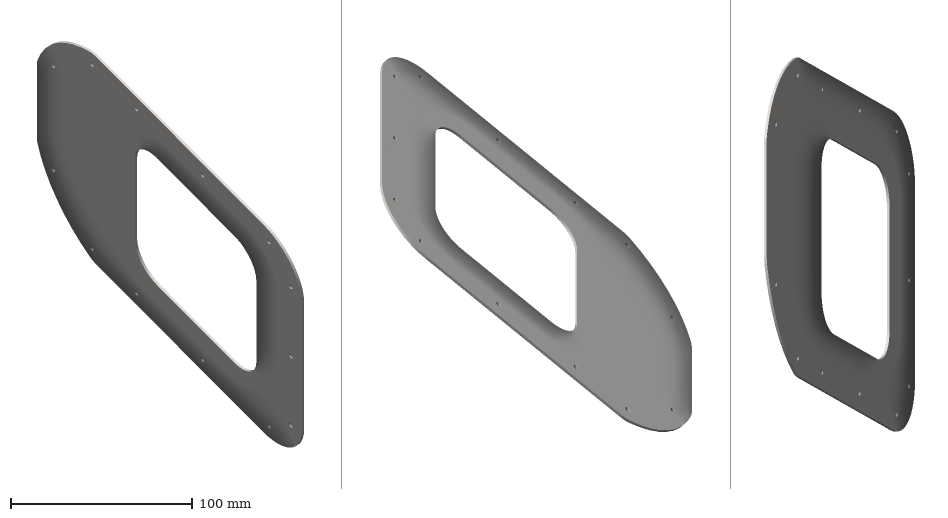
import cadquery as cq
import math

length = 240.0
height = 180.0
thickness = 1.55
half_length = length / 2
half_height = height / 2

right_corner_radius = 35.0

left_arc_radius = 81.5
left_arc_inset_x = 79.0
left_arc_inset_z = 76.5
blend_radius = 17.0

window_size = 110.0
window_center_x = 23.8
window_corner_radius = 20.0

hole_diameter = 3.0
long_edge_hole_z = 80.0
long_edge_hole_xs = [-70.0, -30.0, 30.0, 90.0]
right_hole_x = 110.0
right_hole_spacing = 60.0
left_hole_x = -105.0
left_hole_z = 45.0


def point_on_circle(center, radius, angle):
    """Point on a circle at an angle given in radians from +X."""
    return (center[0] + radius * math.cos(angle), center[1] + radius * math.sin(angle))


def mirrored(point):
    """Point reflected from the upper half of the plate to the lower half."""
    return (point[0], -point[1])


def outline():
    """Closed plate outline in the XZ plane."""
    arc_center = (-half_length + left_arc_inset_x, half_height - left_arc_inset_z)

    center_distance = left_arc_radius - blend_radius
    top_tilt = math.acos((left_arc_inset_z - blend_radius) / center_distance)
    side_tilt = math.acos((left_arc_inset_x - blend_radius) / center_distance)

    up = math.pi / 2
    left = math.pi
    top_join_angle = up + top_tilt
    side_join_angle = left - side_tilt
    arc_mid_angle = (top_join_angle + side_join_angle) / 2
    top_blend_center = point_on_circle(arc_center, center_distance, top_join_angle)
    side_blend_center = point_on_circle(arc_center, center_distance, side_join_angle)

    top_start = point_on_circle(top_blend_center, blend_radius, up)
    top_blend_mid = point_on_circle(top_blend_center, blend_radius, (up + top_join_angle) / 2)
    top_join = point_on_circle(arc_center, left_arc_radius, top_join_angle)
    arc_mid = point_on_circle(arc_center, left_arc_radius, arc_mid_angle)
    side_join = point_on_circle(arc_center, left_arc_radius, side_join_angle)
    side_blend_mid = point_on_circle(side_blend_center, blend_radius, (left + side_join_angle) / 2)
    side_end = point_on_circle(side_blend_center, blend_radius, left)

    right_arc_center = (half_length - right_corner_radius, half_height - right_corner_radius)
    right_top = (right_arc_center[0], half_height)
    right_mid = point_on_circle(right_arc_center, right_corner_radius, math.pi / 4)
    right_side = (half_length, right_arc_center[1])

    return (
        cq.Workplane("XZ")
        .moveTo(*top_start)
        .threePointArc(top_blend_mid, top_join)
        .threePointArc(arc_mid, side_join)
        .threePointArc(side_blend_mid, side_end)
        .lineTo(*mirrored(side_end))
        .threePointArc(mirrored(side_blend_mid), mirrored(side_join))
        .threePointArc(mirrored(arc_mid), mirrored(top_join))
        .threePointArc(mirrored(top_blend_mid), mirrored(top_start))
        .lineTo(*mirrored(right_top))
        .threePointArc(mirrored(right_mid), mirrored(right_side))
        .lineTo(*right_side)
        .threePointArc(right_mid, right_top)
        .close()
    )


def window():
    """Square opening with rounded corners, long enough to cut through the plate."""
    return (
        cq.Workplane("XZ")
        .center(window_center_x, 0)
        .rect(window_size, window_size)
        .extrude(thickness, both=True)
        .edges("|Y")
        .fillet(window_corner_radius)
    )


def screw_holes():
    """Pins for the through holes along the long edges, the right edge and the left corners."""
    points = [(right_hole_x, 0)]
    for side in (-1, 1):
        points += [(x, side * long_edge_hole_z) for x in long_edge_hole_xs]
        points.append((right_hole_x, side * right_hole_spacing))
        points.append((left_hole_x, side * left_hole_z))
    return (
        cq.Workplane("XZ")
        .pushPoints(points)
        .circle(hole_diameter / 2)
        .extrude(thickness, both=True)
    )


plate = outline().extrude(thickness / 2, both=True)
result = plate.cut(window()).cut(screw_holes())